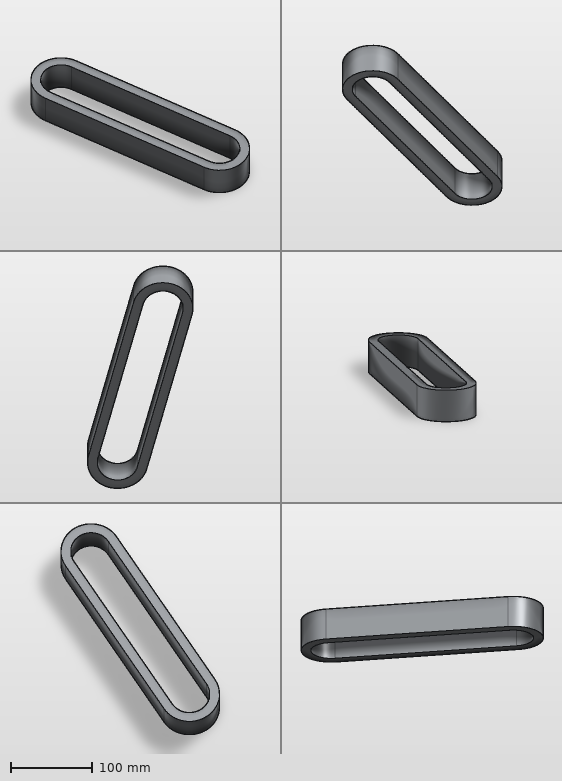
import cadquery as cq

length = 301.2
width = 74.0
height = 40.0
wall = 12.0


def slot_prism(slot_length, slot_width):
    """Upright prism with a round-ended outline, along X and centred in plan."""
    return cq.Workplane("XY").slot2D(slot_length, slot_width).extrude(height)


outer_body = slot_prism(length, width)
opening = slot_prism(length - 2 * wall, width - 2 * wall)

result = outer_body.cut(opening)